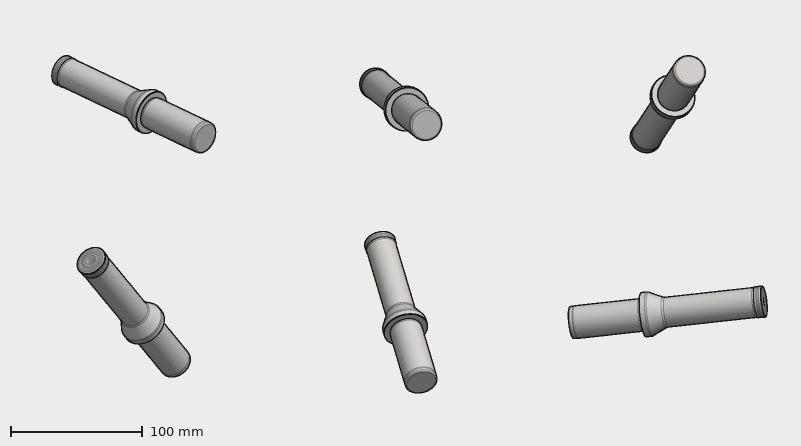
import cadquery as cq
import math

LENGTH = 150.0

RIM_CORNER_X = 0.9
RIM_CORNER_DIAMETER = 24.0
RIM_STEP_X = 2.5
RIM_STEP_LENGTH = 0.3
RIM_DIAMETER = 23.8
GROOVE_START_X = 3.9
GROOVE_END_X = 4.6
GROOVE_DIAMETER = 23.5
HEAD_REAR_BAND = 0.5
HEAD_LENGTH = 6.5
HEAD_REAR_DIAMETER = 23.7

CENTRE_FLAT_DIAMETER = 1.2
CENTRE_CONE_DIAMETER = 3.3
CENTRE_SLOPE = 4.0
DISH_BREAK_DIAMETER = 5.4
DISH_INNER_SLOPE = 13.0
DISH_DIAMETER = 7.8
DISH_OUTER_SLOPE = 16.0
DISH_RIM_DIAMETER = 9.0
DISH_RIM_SLOPE = 13.0
RIDGE_INNER_DIAMETER = 11.7
RIDGE_OUTER_DIAMETER = 12.9
RIDGE_EDGE_SLOPE = 4.0
VALLEY_INNER_DIAMETER = 15.0
RIDGE_SLOPE = 11.0
VALLEY_OUTER_DIAMETER = 17.1
LIP_INNER_DIAMETER = 19.5
LIP_SLOPE = 4.0
LIP_OUTER_DIAMETER = 20.5
LIP_EDGE_SLOPE = 6.0
SHOULDER_DIAMETER = 23.2
SHOULDER_SLOPE = 14.0

NECK_DIAMETER = 23.0
NECK_TAPER_END_X = 7.8
CONE_START_X = 77.1
CONE_HALF_ANGLE = 25.0
CONE_NECK_FILLET = 4.0
CONE_COLLAR_FILLET = 3.0
COLLAR_DIAMETER = 34.0
COLLAR_REAR_X = 94.0
COLLAR_CHAMFER = 0.38
RELIEF_DIAMETER = 24.5
RELIEF_END_X = 95.0
SHANK_DIAMETER = 25.0
SHANK_START_X = 96.0
TAIL_STEP_X = 146.1
TAIL_START_X = 146.7
TAIL_DIAMETER = 24.8
TAIL_FILLET = 1.2


def revolve_about_x(profile):
    """Revolve an (x, diameter) outline, closed along the axis, into a solid."""
    points = [(x, diameter / 2) for x, diameter in profile]
    return cq.Workplane("XY").polyline(points).close().revolve(360, (0, 0, 0), (1, 0, 0))


def rise(inner_diameter, outer_diameter, slope):
    """Axial height of a conical ring with the given slope."""
    return (outer_diameter - inner_diameter) / 2 * math.tan(math.radians(slope))


def make_head():
    lip_outer_x = rise(LIP_INNER_DIAMETER, LIP_OUTER_DIAMETER, LIP_EDGE_SLOPE)
    shoulder_x = lip_outer_x + rise(LIP_OUTER_DIAMETER, SHOULDER_DIAMETER, SHOULDER_SLOPE)
    valley_x = rise(VALLEY_OUTER_DIAMETER, LIP_INNER_DIAMETER, LIP_SLOPE)
    ridge_outer_x = valley_x - rise(RIDGE_OUTER_DIAMETER, VALLEY_INNER_DIAMETER, RIDGE_SLOPE)
    ridge_x = ridge_outer_x - rise(RIDGE_INNER_DIAMETER, RIDGE_OUTER_DIAMETER, RIDGE_EDGE_SLOPE)
    dish_x = ridge_x + rise(DISH_DIAMETER, DISH_RIM_DIAMETER, DISH_RIM_SLOPE)
    dish_break_x = dish_x + rise(DISH_BREAK_DIAMETER, DISH_DIAMETER, DISH_OUTER_SLOPE)
    cone_x = dish_break_x + rise(CENTRE_CONE_DIAMETER, DISH_BREAK_DIAMETER, DISH_INNER_SLOPE)
    centre_x = cone_x + rise(CENTRE_FLAT_DIAMETER, CENTRE_CONE_DIAMETER, CENTRE_SLOPE)

    setback = -ridge_x
    face = [
        (centre_x, 0),
        (centre_x, CENTRE_FLAT_DIAMETER),
        (cone_x, CENTRE_CONE_DIAMETER),
        (dish_break_x, DISH_BREAK_DIAMETER),
        (dish_x, DISH_DIAMETER),
        (ridge_x, DISH_RIM_DIAMETER),
        (ridge_x, RIDGE_INNER_DIAMETER),
        (ridge_outer_x, RIDGE_OUTER_DIAMETER),
        (valley_x, VALLEY_INNER_DIAMETER),
        (valley_x, VALLEY_OUTER_DIAMETER),
        (0, LIP_INNER_DIAMETER),
        (lip_outer_x, LIP_OUTER_DIAMETER),
        (shoulder_x, SHOULDER_DIAMETER),
    ]
    rim = [
        (RIM_CORNER_X, RIM_CORNER_DIAMETER),
        (RIM_STEP_X, RIM_DIAMETER),
        (RIM_STEP_X + RIM_STEP_LENGTH, RIM_DIAMETER),
        (GROOVE_START_X, GROOVE_DIAMETER),
        (GROOVE_END_X, GROOVE_DIAMETER),
        (HEAD_LENGTH - HEAD_REAR_BAND, HEAD_REAR_DIAMETER),
        (HEAD_LENGTH, HEAD_REAR_DIAMETER),
        (HEAD_LENGTH, 0),
    ]
    return revolve_about_x([(x + setback, diameter) for x, diameter in face] + rim)


def fillet_edge(body, x, radius):
    """Round the circular edge that lies in the plane at x."""
    margin = 0.2
    reach = COLLAR_DIAMETER
    at_x = cq.selectors.BoxSelector(
        (x - margin, -reach, -reach), (x + margin, reach, reach), boundingbox=True
    )
    return body.edges(at_x).edges("%CIRCLE").fillet(radius)


def make_holder():
    cone_length = (COLLAR_DIAMETER - NECK_DIAMETER) / 2 / math.tan(math.radians(CONE_HALF_ANGLE))
    collar_front_x = CONE_START_X + cone_length
    holder = revolve_about_x([
        (HEAD_LENGTH, 0),
        (HEAD_LENGTH, HEAD_REAR_DIAMETER),
        (NECK_TAPER_END_X, NECK_DIAMETER),
        (CONE_START_X, NECK_DIAMETER),
        (collar_front_x, COLLAR_DIAMETER),
        (COLLAR_REAR_X - COLLAR_CHAMFER, COLLAR_DIAMETER),
        (COLLAR_REAR_X, COLLAR_DIAMETER - 2 * COLLAR_CHAMFER),
        (COLLAR_REAR_X, RELIEF_DIAMETER),
        (RELIEF_END_X, RELIEF_DIAMETER),
        (SHANK_START_X, SHANK_DIAMETER),
        (TAIL_STEP_X, SHANK_DIAMETER),
        (TAIL_START_X, TAIL_DIAMETER),
        (LENGTH, TAIL_DIAMETER),
        (LENGTH, 0),
    ])
    holder = fillet_edge(holder, CONE_START_X, CONE_NECK_FILLET)
    holder = fillet_edge(holder, collar_front_x, CONE_COLLAR_FILLET)
    return fillet_edge(holder, LENGTH, TAIL_FILLET)


head = make_head()
holder = make_holder()

result = cq.Compound.makeCompound([head.val(), holder.val()])